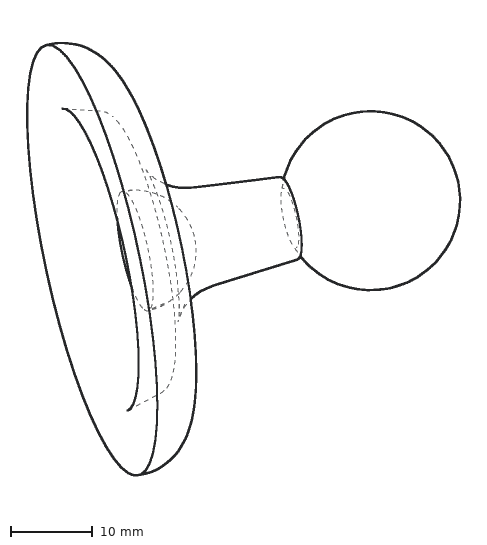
import cadquery as cq
import math


flange_radius = 27.0
rim_land = 0.65
rim_round = 5.95
shoulder_angle = math.radians(5)

total_height = 46.75
ball_radius = 11.0
neck_top_height = 25.4
neck_top_radius = 5.2
neck_draft = math.radians(5)
neck_root_fillet = 7.5
neck_top_fillet = 0.3

recess_depth = 5.5
recess_mouth_radius = 19.0
recess_floor_radius = 17.5
recess_mouth_fillet = 0.45
recess_floor_fillet = 1.0
dimple_radius = 7.5


def rim_point(angle):
    """Point (radius, height) on the rim round, at an angle up from the radial direction."""
    return (
        flange_radius - rim_round + rim_round * math.cos(angle),
        rim_land + rim_round * math.sin(angle),
    )


def spin(profile):
    """Revolve a closed (radius, height) profile about the Y axis."""
    return profile.close().revolve(360, (0, 0, 0), (0, 1, 0))


def circle_edge(radius, height):
    """Select the circular edge of a given radius at a given height along Y."""
    return cq.selectors.BoxSelector(
        (-radius - 0.05, height - 0.05, -radius - 0.05),
        (radius + 0.05, height + 0.05, radius + 0.05),
        boundingbox=True,
    )


def ball(radius, height):
    return cq.Workplane("XY").sphere(radius).translate((0, height, 0))


rim_end_angle = math.pi / 2 - shoulder_angle
shoulder_radius, shoulder_height = rim_point(rim_end_angle)
shoulder_slope = math.tan(shoulder_angle)
neck_slope = math.tan(neck_draft)
neck_root_radius = (
    neck_top_radius + neck_slope * (neck_top_height - shoulder_height - shoulder_slope * shoulder_radius)
) / (1 - neck_slope * shoulder_slope)
neck_root_height = shoulder_height + shoulder_slope * (shoulder_radius - neck_root_radius)

body = spin(
    cq.Workplane("XY")
    .lineTo(flange_radius, 0)
    .lineTo(flange_radius, rim_land)
    .threePointArc(rim_point(rim_end_angle / 2), (shoulder_radius, shoulder_height))
    .lineTo(neck_root_radius, neck_root_height)
    .lineTo(neck_top_radius, neck_top_height)
    .lineTo(0, neck_top_height)
)
body = body.edges(circle_edge(neck_root_radius, neck_root_height)).fillet(neck_root_fillet)
body = body.edges(circle_edge(neck_top_radius, neck_top_height)).fillet(neck_top_fillet)

recess = spin(
    cq.Workplane("XY")
    .lineTo(recess_mouth_radius, 0)
    .lineTo(recess_floor_radius, recess_depth)
    .lineTo(0, recess_depth)
)
body = body.cut(recess)
body = body.edges(circle_edge(recess_floor_radius, recess_depth)).fillet(recess_floor_fillet)
body = body.edges(circle_edge(recess_mouth_radius, 0)).fillet(recess_mouth_fillet)

dimple = ball(dimple_radius, recess_depth)
result = body.cut(dimple).union(ball(ball_radius, total_height - ball_radius))